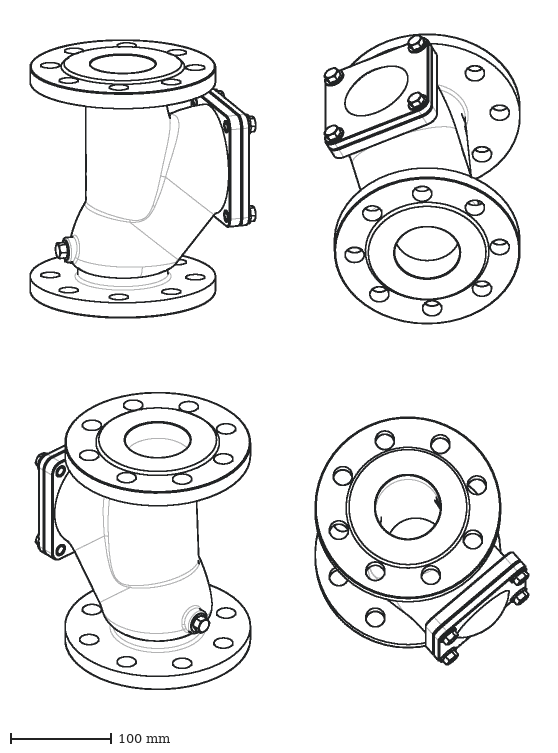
import cadquery as cq
import math

height = 240.0

flange_diameter = 185.0
flange_thickness = 16.0
flange_edge_chamfer = 1.0
flange_hole_diameter = 19.0
flange_hole_count = 8
flange_hole_circle = 145.0
flange_root_fillet = 3.0
raised_face_diameter = 123.0
raised_face_top_diameter = 117.4
raised_face_height = 3.0

collar_diameter = 90.0
chamber_radius = 54.7
chamber_bottom = 29.3
chamber_bottom_fillet = 15.0
bend_start = 33.5
bend_clearance = 0.2
branch_tilt = 41.0
branch_length = 57.4

neck_top_radius = 38.0
neck_top_y = 0.7
neck_bottom_radius = 52.3
neck_bottom_y = 16.3
neck_bottom = 84.0
neck_fillet = 7.2

bore_diameter = 65.0
bore_mouth_chamfer = 0.7
passage_bottom = 72.0
passage_bottom_y = 18.2
closure_diameter = 91.2
closure_height = 52.8

plate_size = 115.2
plate_corner_radius = 11.0
plate_chamfer = 1.0
bonnet_thickness = 12.7
cover_thickness = 8.5
dome_diameter = 70.0
dome_rise = 14.0

hex_flats = 14.0
hex_chamfer_height = 0.7
hex_chamfer_width = 1.5

bolt_spacing = 93.0
bolt_diameter = 10.0
bolt_tip_diameter = 8.2
bolt_countersink_diameter = 12.0
washer_diameter = 20.0
washer_thickness = 2.0
bolt_head_height = 6.2

drain_height = 52.0
boss_diameter = 25.0
boss_face_y = -60.2
boss_length = 14.5
boss_edge_fillet = 1.5
boss_root_fillet = 2.5
plug_diameter = 20.0
plug_depth = 9.5
plug_rim = 0.7
plug_head_height = 8.0

flange_inner_z = raised_face_height + flange_thickness
top_flange_inner_z = height - flange_inner_z
tilt = math.radians(branch_tilt)
pivot_offset = chamber_radius + bend_clearance
branch_start_y = pivot_offset * (1 - math.cos(tilt))
branch_start_z = bend_start + pivot_offset * math.sin(tilt)
branch_end_y = branch_start_y + branch_length * math.sin(tilt)
branch_end_z = branch_start_z + branch_length * math.cos(tilt)
bonnet_y = branch_end_y + pivot_offset * math.cos(tilt)
bonnet_z = branch_end_z + pivot_offset * (1 - math.sin(tilt))
cover_y = bonnet_y + bonnet_thickness
cover_face_y = cover_y + cover_thickness


def z_rod(diameter, bottom, top):
    """Round bar on the Z axis."""
    return cq.Workplane("XY").workplane(offset=bottom).circle(diameter / 2).extrude(top - bottom)


def y_plane(y, z):
    """Workplane facing +Y, centred on X = 0, with local y along +Z."""
    return cq.Workplane(cq.Plane(origin=(0, y, z), xDir=(-1, 0, 0), normal=(0, 1, 0)))


def tilted_plane(y, z):
    """Workplane centred on X = 0 that faces along the branch."""
    normal = (0, math.sin(tilt), math.cos(tilt))
    return cq.Workplane(cq.Plane(origin=(0, y, z), xDir=(1, 0, 0), normal=normal))


def oblique_cone(bottom, bottom_y, bottom_radius, top, top_y, top_radius):
    """Loft between two level circles whose centres are shifted along Y."""
    return (
        cq.Workplane("XY", origin=(0, bottom_y, bottom))
        .circle(bottom_radius)
        .workplane(offset=top - bottom)
        .center(0, top_y - bottom_y)
        .circle(top_radius)
        .loft()
    )


def square_plate(y, thickness):
    plate = y_plane(y, bonnet_z).rect(plate_size, plate_size).extrude(thickness)
    plate = plate.edges("|Y").fillet(plate_corner_radius)
    return plate.faces("<Y or >Y").edges().chamfer(plate_chamfer)


def bolt_pattern(y):
    return y_plane(y, bonnet_z).rect(bolt_spacing, bolt_spacing, forConstruction=True).vertices()


def hex_head(bottom, length):
    """Hexagon on the Z axis with its upper corners turned down."""
    corners = hex_flats / math.cos(math.pi / 6)
    prism = cq.Workplane("XY").workplane(offset=bottom).polygon(6, corners).extrude(length)
    turned = z_rod(corners, bottom, bottom + length)
    turned = turned.faces(">Z").chamfer(hex_chamfer_height, hex_chamfer_width)
    return prism.intersect(turned)


def pipe_flange():
    """Bottom flange, with its raised face on Z = 0."""
    disc = z_rod(flange_diameter, raised_face_height, flange_inner_z)
    disc = disc.faces("<Z").edges().chamfer(flange_edge_chamfer)
    raised_face = (
        cq.Workplane("XY")
        .circle(raised_face_top_diameter / 2)
        .workplane(offset=raised_face_height)
        .circle(raised_face_diameter / 2)
        .loft()
    )
    holes = (
        cq.Workplane("XY")
        .polarArray(flange_hole_circle / 2, 180 / flange_hole_count, 360, flange_hole_count)
        .circle(flange_hole_diameter / 2)
        .extrude(flange_inner_z)
    )
    return disc.union(raised_face).cut(holes)


def bent_chamber():
    """Round chamber that bends into the branch and bends again to end square to Y."""
    pivot = ((2.5, pivot_offset), (-2.5, pivot_offset))
    foot = z_rod(2 * chamber_radius, chamber_bottom, bend_start)
    first_section = cq.Workplane("XY").workplane(offset=bend_start).circle(chamber_radius)
    first_bend = first_section.revolve(branch_tilt, *pivot)
    straight = tilted_plane(branch_start_y, branch_start_z).circle(chamber_radius).extrude(branch_length)
    second_section = tilted_plane(branch_end_y, branch_end_z).circle(chamber_radius)
    second_bend = second_section.revolve(90 - branch_tilt, *pivot)
    chamber = foot.union(first_bend).union(straight).union(second_bend)
    return chamber.faces("<Z").edges().fillet(chamber_bottom_fillet)


def add_neck(chamber):
    neck = oblique_cone(
        neck_bottom, neck_bottom_y, neck_bottom_radius,
        top_flange_inner_z, neck_top_y, neck_top_radius,
    )
    junction = cq.selectors.BoxSelector(
        (-chamber_radius, -chamber_radius, neck_bottom),
        (chamber_radius, chamber_radius, 2 * neck_bottom),
    )
    return chamber.union(neck).edges("%BSPLINE").edges(junction).fillet(neck_fillet)


def add_drain_boss(body):
    boss = y_plane(boss_face_y, drain_height).circle(boss_diameter / 2).extrude(boss_length)
    boss = boss.faces("<Y").edges().fillet(boss_edge_fillet)
    root = cq.selectors.BoxSelector(
        (-boss_diameter / 2, -chamber_radius, drain_height - boss_diameter / 2),
        (boss_diameter / 2, boss_face_y + boss_length, drain_height + boss_diameter / 2),
    )
    return body.union(boss).edges(root).fillet(boss_root_fillet)


def fillet_flange_root(body, z):
    """Round the corner between a flange and the pipe that meets it at this height."""
    near_axis = cq.selectors.BoxSelector((-2.5, -2.5, z - flange_root_fillet), (2.5, 2.5, z + flange_root_fillet))
    circles = body.edges("%CIRCLE").edges(near_axis)
    return circles.edges(cq.selectors.RadiusNthSelector(0)).fillet(flange_root_fillet)


def bore_with_mouth(depth):
    """Bore that rises from Z = 0 and widens at its mouth."""
    mouth_radius = bore_diameter / 2 + bore_mouth_chamfer
    mouth = oblique_cone(0, 0, mouth_radius, bore_mouth_chamfer, 0, bore_diameter / 2)
    return z_rod(bore_diameter, 0, depth).union(mouth)


def bores():
    """Blind inlet bore, and the outlet bore and passage down to the closure."""
    inlet = bore_with_mouth(chamber_bottom)
    outlet = bore_with_mouth(flange_inner_z).mirror("XY", (0, 0, height / 2))
    passage = oblique_cone(
        passage_bottom, passage_bottom_y, bore_diameter / 2,
        top_flange_inner_z, 0, bore_diameter / 2,
    )
    closure = cq.Workplane("XY", origin=(0, 0, closure_height)).sphere(closure_diameter / 2)
    return inlet.union(outlet).union(passage.cut(closure))


def bonnet_bolt_holes():
    countersink_depth = (bolt_countersink_diameter - bolt_diameter) / 2
    holes = bolt_pattern(bonnet_y).circle(bolt_diameter / 2).extrude(bonnet_thickness)
    countersinks = (
        bolt_pattern(bonnet_y)
        .circle(bolt_countersink_diameter / 2)
        .extrude(countersink_depth, taper=45)
    )
    return holes.union(countersinks)


def make_housing():
    body = add_drain_boss(add_neck(bent_chamber()))
    body = body.union(z_rod(collar_diameter, flange_inner_z, bend_start))
    body = body.union(pipe_flange())
    body = body.union(pipe_flange().mirror("XY", (0, 0, height / 2)))
    body = fillet_flange_root(body, flange_inner_z)
    body = fillet_flange_root(body, top_flange_inner_z)
    body = body.union(square_plate(bonnet_y, bonnet_thickness))
    drain_hole = y_plane(boss_face_y, drain_height).circle(plug_diameter / 2).extrude(plug_depth)
    return body.cut(bores()).cut(bonnet_bolt_holes()).cut(drain_hole)


def make_cover():
    plate = square_plate(cover_y, cover_thickness)
    base_radius = dome_diameter / 2
    sphere_radius = (base_radius**2 + dome_rise**2) / (2 * dome_rise)
    dome = (
        cq.Workplane("XY", origin=(0, cover_face_y, bonnet_z))
        .lineTo(base_radius, 0)
        .radiusArc((0, dome_rise), -sphere_radius)
        .close()
        .revolve(360, (0, 0), (0, 1))
    )
    holes = bolt_pattern(cover_y).circle(bolt_diameter / 2).extrude(cover_thickness)
    return plate.union(dome).cut(holes)


def make_bolt(x, z):
    """Bolt with a fixed washer under its head, pointing along -Y through cover and bonnet."""
    shank = z_rod(bolt_diameter, -(cover_thickness + bonnet_thickness), 0)
    shank = shank.faces("<Z").chamfer((bolt_diameter - bolt_tip_diameter) / 2)
    washer = z_rod(washer_diameter, 0, washer_thickness)
    bolt = shank.union(washer).union(hex_head(washer_thickness, bolt_head_height))
    return bolt.rotate((0, 0, 0), (1, 0, 0), -90).translate((x, cover_face_y, z))


def make_plug():
    plug = z_rod(plug_diameter, -plug_depth, plug_rim).union(hex_head(plug_rim, plug_head_height))
    return plug.rotate((0, 0, 0), (1, 0, 0), 90).translate((0, boss_face_y, drain_height))


housing = make_housing()
cover = make_cover()
plug = make_plug()
bolts = []
for side_x in (-1, 1):
    for side_z in (-1, 1):
        bolts.append(make_bolt(side_x * bolt_spacing / 2, bonnet_z + side_z * bolt_spacing / 2))

result = cq.Compound.makeCompound(
    [housing.val(), cover.val(), plug.val(), *[bolt.val() for bolt in bolts]]
)